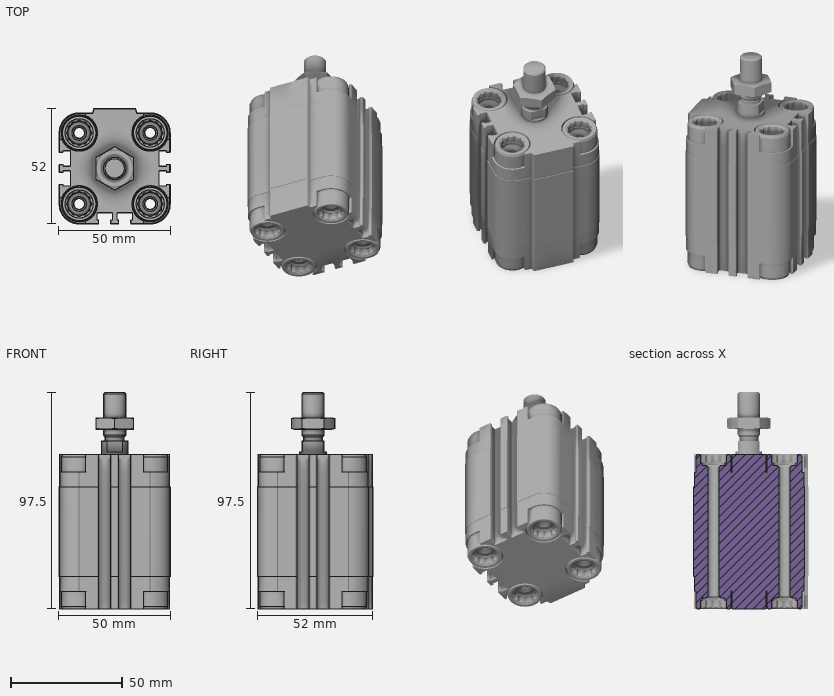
import cadquery as cq
import math

TOTAL_HEIGHT = 97.5
HOUSING_HEIGHT = 69.6
CAP_HEIGHT = 14.6
TUBE_HEIGHT = HOUSING_HEIGHT - 2 * CAP_HEIGHT

TUBE_HALF_WIDTH = 25.01
CAP_INSET = 0.24
CORNER_OFFSET = 16.0
RAIL_RISE = 1.95
RAIL_TOP_HALF_WIDTH = 9.4
RAIL_BASE_HALF_WIDTH = 9.9
RAIL_FILLET = 0.4

SLOT_FACE_ANGLES = (0, 180, 270)
SLOT_FLOOR = 20.0
LIP_INNER_FACE = 23.2
RIB_HALF_WIDTH = 1.1
RIB_HEAD_HALF_WIDTH = 1.8
SLOT_MOUTH_END = 7.2
SLOT_POCKET_END = 7.9
LIP_FILLET = 0.4

BOSS_DIAMETER = 16.0
BOSS_RECESS_DIAMETER = 16.5
BOSS_HEIGHT = 8.0
BOSS_CHAMFER_WIDTH = 0.5
BOSS_CHAMFER_HEIGHT = 1.2
CORNER_RELIEF_START = 13.1

SOCKET_POINTS = 12
SOCKET_MOUTH_DIAMETER = 12.7
SOCKET_ACROSS_FLATS = 9.9
SOCKET_LEAD_IN = 0.8
SOCKET_TEETH_END = 3.8
SOCKET_DEPTH = 5.0
SOCKET_FLOOR_DIAMETER = 10.1
COUNTERSINK_DIAMETER = 6.6
BOLT_HOLE_DIAMETER = 4.9

ROD_DIAMETER = 12.0
ROD_BOTTOM_Z = HOUSING_HEIGHT - CAP_HEIGHT
ROD_SHOULDER_Z = 75.6
ROD_FLATS_START_Z = 70.8
ROD_ACROSS_FLATS = 9.8
NECK_DIAMETER = 8.6
THREAD_DIAMETER = 10.0
THREAD_START_Z = 77.4
THREAD_LOWER_CHAMFER_HEIGHT = 0.9
THREAD_TIP_CHAMFER = 0.7

NUT_BOTTOM_Z = 80.9
NUT_HEIGHT = 5.2
NUT_ACROSS_FLATS = 17.0
NUT_FACE_DIAMETER = 16.8
NUT_CHAMFER_ANGLE = 15

HEXAGON_CORNER_RATIO = 1 / math.cos(math.radians(30))
CLEARANCE = 1.0
TOLERANCE = 0.01
CORNERS = [
    (x, y)
    for x in (-CORNER_OFFSET, CORNER_OFFSET)
    for y in (-CORNER_OFFSET, CORNER_OFFSET)
]


def cylinder(diameter, bottom, top):
    return cq.Workplane("XY").workplane(offset=bottom).circle(diameter / 2).extrude(top - bottom)


def turned(outline):
    """Solid of revolution about Z from (radius, z) points."""
    return cq.Workplane("XZ").polyline(outline).close().revolve(360, (0, 0, 0), (0, 1, 0))


def slot(side):
    """Undercut slot in the +X face, on one side (-1 or 1) of the rib."""
    outside = TUBE_HALF_WIDTH + CLEARANCE
    outline = [
        (SLOT_FLOOR, side * RIB_HALF_WIDTH),
        (LIP_INNER_FACE, side * RIB_HALF_WIDTH),
        (LIP_INNER_FACE, side * RIB_HEAD_HALF_WIDTH),
        (outside, side * RIB_HEAD_HALF_WIDTH),
        (outside, side * SLOT_MOUTH_END),
        (LIP_INNER_FACE, side * SLOT_MOUTH_END),
        (LIP_INNER_FACE, side * SLOT_POCKET_END),
        (SLOT_FLOOR, side * SLOT_POCKET_END),
    ]
    return cq.Workplane("XY").polyline(outline).close().extrude(HOUSING_HEIGHT)


def is_lip_edge(edge):
    """True for the upright edges on the lips and rib heads beside the slot mouths."""
    center = edge.Center()
    along, outward = sorted((abs(center.x), abs(center.y)))
    at_mouth = min(abs(along - RIB_HEAD_HALF_WIDTH), abs(along - SLOT_MOUTH_END)) < TOLERANCE
    return at_mouth and outward > LIP_INNER_FACE - TOLERANCE and center.y < SLOT_POCKET_END


def profile(half_width, height):
    """Length of the slotted housing profile, with its outer faces at the given half width."""
    square = cq.Workplane("XY").rect(2 * half_width, 2 * half_width).extrude(height)
    square = square.edges("|Z").fillet(half_width - CORNER_OFFSET)

    rail_top = half_width + RAIL_RISE
    rail_outline = [
        (-RAIL_BASE_HALF_WIDTH, 0),
        (-RAIL_BASE_HALF_WIDTH, half_width),
        (-RAIL_TOP_HALF_WIDTH, rail_top),
        (RAIL_TOP_HALF_WIDTH, rail_top),
        (RAIL_BASE_HALF_WIDTH, half_width),
        (RAIL_BASE_HALF_WIDTH, 0),
    ]
    rail = cq.Workplane("XY").polyline(rail_outline).close().extrude(height)
    body = square.union(rail)
    body = body.edges("|Z").filter(
        lambda edge: edge.Center().y > half_width - TOLERANCE
        and abs(edge.Center().x) < RAIL_BASE_HALF_WIDTH + TOLERANCE
    ).fillet(RAIL_FILLET)

    for angle in SLOT_FACE_ANGLES:
        for side in (-1, 1):
            body = body.cut(slot(side).rotate((0, 0, 0), (0, 0, 1), angle))
    return body.edges("|Z").filter(is_lip_edge).fillet(LIP_FILLET)


def boss_recess(x, y, half_width):
    """Round recess about a boss, plus the square relief that opens it to the corner."""
    bottom = CAP_HEIGHT - BOSS_HEIGHT
    relief_size = half_width - CORNER_RELIEF_START + CLEARANCE
    relief_center = CORNER_RELIEF_START + relief_size / 2
    relief = (
        cq.Workplane("XY")
        .workplane(offset=bottom)
        .center(math.copysign(relief_center, x), math.copysign(relief_center, y))
        .rect(relief_size, relief_size)
        .extrude(BOSS_HEIGHT)
    )
    return cylinder(BOSS_RECESS_DIAMETER, bottom, CAP_HEIGHT).translate((x, y, 0)).union(relief)


def boss():
    bottom = CAP_HEIGHT - BOSS_HEIGHT
    radius = BOSS_DIAMETER / 2
    return turned([
        (0, bottom),
        (radius, bottom),
        (radius, CAP_HEIGHT - BOSS_CHAMFER_HEIGHT),
        (radius - BOSS_CHAMFER_WIDTH, CAP_HEIGHT),
        (0, CAP_HEIGHT),
    ])


def socket():
    """Two crossed hexagons with a conical lead-in, above a countersunk bolt hole."""
    hexagon = (
        cq.Workplane("XY")
        .workplane(offset=CAP_HEIGHT)
        .polygon(6, SOCKET_ACROSS_FLATS * HEXAGON_CORNER_RATIO)
        .extrude(-SOCKET_TEETH_END)
    )
    teeth = hexagon.union(hexagon.rotate((0, 0, 0), (0, 0, 1), 360 / SOCKET_POINTS))

    crest_radius = SOCKET_ACROSS_FLATS / 2 / math.cos(math.pi / SOCKET_POINTS)
    hole_radius = BOLT_HOLE_DIAMETER / 2
    countersink_radius = COUNTERSINK_DIAMETER / 2
    floor_radius = SOCKET_FLOOR_DIAMETER / 2
    floor = CAP_HEIGHT - SOCKET_DEPTH
    bore = turned([
        (0, 0),
        (hole_radius, 0),
        (hole_radius, floor - (countersink_radius - hole_radius)),
        (countersink_radius, floor),
        (floor_radius, floor),
        (floor_radius, CAP_HEIGHT - SOCKET_TEETH_END),
        (0, CAP_HEIGHT - SOCKET_TEETH_END),
    ])
    lead_in = turned([
        (0, CAP_HEIGHT),
        (SOCKET_MOUTH_DIAMETER / 2, CAP_HEIGHT),
        (crest_radius, CAP_HEIGHT - SOCKET_LEAD_IN),
        (0, CAP_HEIGHT - SOCKET_LEAD_IN),
    ])
    return teeth.union(bore).union(lead_in)


def cap():
    """End section of the housing, standing on Z = 0 with its sockets opening upward."""
    half_width = TUBE_HALF_WIDTH - CAP_INSET
    body = profile(half_width, CAP_HEIGHT)
    for x, y in CORNERS:
        body = body.cut(boss_recess(x, y, half_width))
        body = body.union(boss().translate((x, y, 0)))
        body = body.cut(socket().translate((x, y, 0)))
    return body


def make_housing():
    upper_cap = cap().translate((0, 0, HOUSING_HEIGHT - CAP_HEIGHT))
    lower_cap = upper_cap.mirror("XY", (0, 0, HOUSING_HEIGHT / 2))
    tube = profile(TUBE_HALF_WIDTH, TUBE_HEIGHT).translate((0, 0, CAP_HEIGHT))
    for x, y in CORNERS:
        tube = tube.cut(cylinder(BOLT_HOLE_DIAMETER, 0, HOUSING_HEIGHT).translate((x, y, 0)))
    rod_bore = cylinder(ROD_DIAMETER, ROD_BOTTOM_Z, HOUSING_HEIGHT)
    return tube.union(upper_cap).union(lower_cap).cut(rod_bore)


def make_rod():
    rod_radius = ROD_DIAMETER / 2
    neck_radius = NECK_DIAMETER / 2
    thread_radius = THREAD_DIAMETER / 2
    rod = turned([
        (0, ROD_BOTTOM_Z),
        (rod_radius, ROD_BOTTOM_Z),
        (rod_radius, ROD_SHOULDER_Z),
        (neck_radius, ROD_SHOULDER_Z),
        (neck_radius, THREAD_START_Z),
        (thread_radius, THREAD_START_Z + THREAD_LOWER_CHAMFER_HEIGHT),
        (thread_radius, TOTAL_HEIGHT - THREAD_TIP_CHAMFER),
        (thread_radius - THREAD_TIP_CHAMFER, TOTAL_HEIGHT),
        (0, TOTAL_HEIGHT),
    ])
    for side in (-1, 1):
        flat = (
            cq.Workplane("XY")
            .workplane(offset=ROD_FLATS_START_Z)
            .center(0, side * (ROD_ACROSS_FLATS + ROD_DIAMETER) / 2)
            .rect(2 * ROD_DIAMETER, ROD_DIAMETER)
            .extrude(ROD_SHOULDER_Z - ROD_FLATS_START_Z)
        )
        rod = rod.cut(flat)
    return rod


def make_nut():
    top = NUT_BOTTOM_Z + NUT_HEIGHT
    corner_diameter = NUT_ACROSS_FLATS * HEXAGON_CORNER_RATIO
    hexagon = (
        cq.Workplane("XY")
        .workplane(offset=NUT_BOTTOM_Z)
        .polygon(6, corner_diameter)
        .extrude(NUT_HEIGHT)
        .rotate((0, 0, 0), (0, 0, 1), 30)
    )
    face_radius = NUT_FACE_DIAMETER / 2
    corner_radius = corner_diameter / 2
    corner_drop = (corner_radius - face_radius) * math.tan(math.radians(NUT_CHAMFER_ANGLE))
    coned_blank = turned([
        (0, NUT_BOTTOM_Z),
        (face_radius, NUT_BOTTOM_Z),
        (corner_radius, NUT_BOTTOM_Z + corner_drop),
        (corner_radius, top - corner_drop),
        (face_radius, top),
        (0, top),
    ])
    return hexagon.intersect(coned_blank).cut(cylinder(THREAD_DIAMETER, NUT_BOTTOM_Z, top))


housing = make_housing()
rod = make_rod()
nut = make_nut()

result = cq.Compound.makeCompound([body.solids().val() for body in (housing, rod, nut)])